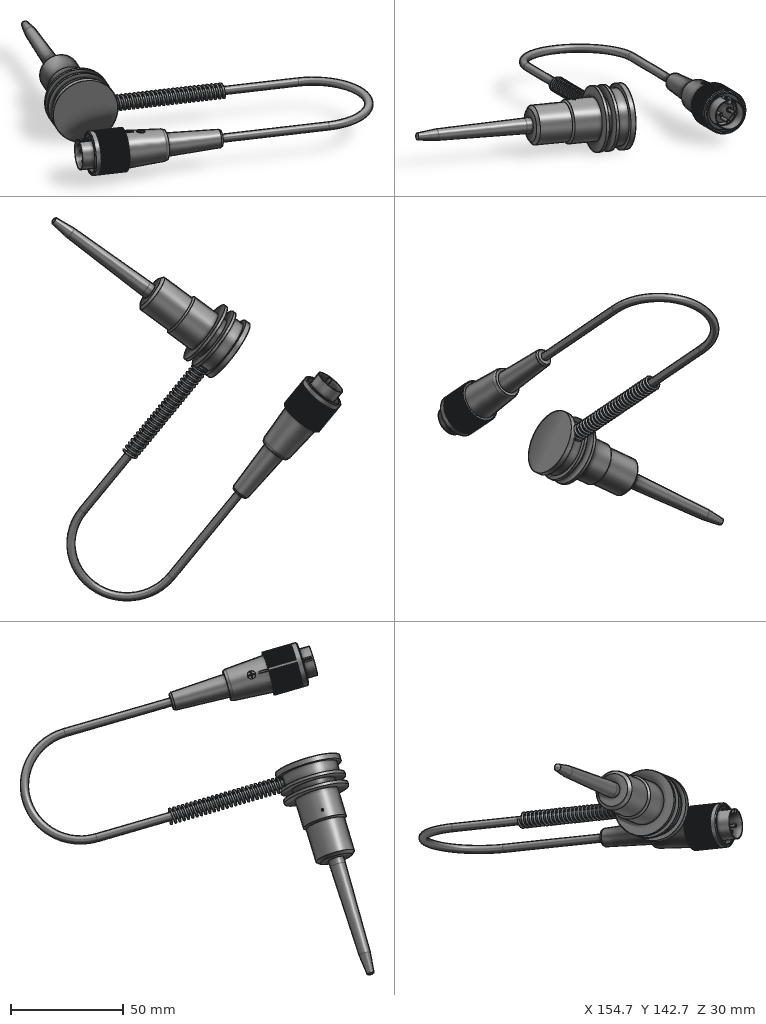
import cadquery as cq
TIP_DOME_LENGTH = 0.6
TIP_DIA = 3.2
PROBE_SHOULDER_X = 9.9
PROBE_SHOULDER_DIA = 5.3
PROBE_ROOT_X = 52.1
PROBE_ROOT_DIA = 7.1

NOSE_X = 55.0
NOSE_DIA = 18.0
NOSE_CHAMFER_LENGTH = 1.2
NOSE_FACE_DIA = 14.9
BARREL_X = 71.8
BARREL_DIA = 20.0
BARREL_CHAMFER_LENGTH = 0.8

FLANGE_DIA = 30.0
FRONT_FLANGE_X = 85.7
MIDDLE_FLANGE_X = 90.5
THIN_FLANGE_WIDTH = 1.4
REAR_FLANGE_X = 97.5
HOUSING_END_X = 100.0
SPOOL_DIA = 26.0
VENT_DIA = 1.0
VENT_X = 76.3
VENT_DEPTH = 1.5

WIRE_DIA = 1.0
SPRING_DIA = 7.3
SPRING_COIL_LENGTH = 52.9
SPRING_TURNS = 26.5
SPRING_START_GAP = 0.08
SPRING_BORE_DIA = 7.5
SPRING_BORE_FLOOR_Y = 12.4

CABLE_DIA = 3.7
CABLE_BEND_Y = 99.8

RING_DIA = 20.0
PLUG_X = 154.7 - RING_DIA / 2
CABLE_X = 94.7

PLUG_END_Y = -16.0
BOOT_END_Y = 50.1
BOOT_FACE_DIA = 7.3
BOOT_CHAMFER_LENGTH = 1.0
BOOT_TOP_DIA = 8.4
BOOT_BASE_Y = 24.3
BOOT_BASE_DIA = 10.7
GRIP_CHAMFER_LENGTH = 1.4
GRIP_FACE_DIA = 13.6
GRIP_TOP_DIA = 14.7
GRIP_BASE_DIA = 17.2
SHELL_DIA = 13.6
SHELL_BORE_DIA = 13.0
SHELL_BORE_DEPTH = 9.3
INSULATOR_DIA = 11.1
INSULATOR_BEVEL_LENGTH = 0.8
KEYWAY_WIDTH = 0.5
KEYWAY_DEPTH = 0.3
KEYWAY_LENGTH = 4.6
KEYWAY_END_GAP = 0.8
KEY_WIDTH = 1.9
KEY_HEIGHT = 1.5

PIN_DIA = 1.5
PIN_TIP_DIA = 1.0
PIN_RADIUS = 3.4
PIN_SETBACK = 1.5
COLLAR_DIA = 2.5
COLLAR_HEIGHT = 0.5
SOCKET_DIA = 1.0
SOCKET_DEPTH = 1.5

RING_TOP_Y = 5.0
RING_END_Y = -11.0
RING_CHAMFER = 0.5
RING_RECESS_DIA = 17.2
RING_RECESS_DEPTH = 3.1
RING_RECESS_CHAMFER = 0.3
KNURL_COUNT = 72
KNURL_WIDTH = 0.39
KNURL_DEPTH = 0.39
KNURL_END_Y = -8.2

SCREW_DIA = 3.7
SCREW_Y = 12.8
SCREW_DEPTH = 2.5
SCREW_SLOT_WIDTH = 0.5
SCREW_SLOT_LENGTH = 2.5
SCREW_SLOT_DEPTH = 0.6
MARK_WIDTH = 1.0
MARK_TOP_Y = 9.3
MARK_DEPTH = 0.5


def rod_along_y(x, z, diameter, y_start, y_end):
    """Cylinder parallel to Y between two Y positions."""
    return (
        cq.Workplane("XZ", origin=(x, y_start, z))
        .circle(diameter / 2)
        .extrude(y_start - y_end)
    )


def turned_about_plug_axis(profile):
    """Solid of revolution about the plug axis from (radius, y) points."""
    outline = cq.Workplane("XY", origin=(PLUG_X, 0, 0)).polyline(profile).close()
    return outline.revolve(360, (0, 0, 0), (0, 1, 0))


def box_between(x_range, y_range, z_range):
    """Box filling three coordinate ranges."""
    corner = (x_range[0], y_range[0], z_range[0])
    return cq.Workplane("XY").box(
        x_range[1] - x_range[0],
        y_range[1] - y_range[0],
        z_range[1] - z_range[0],
        centered=False,
    ).translate(corner)


def grip_radius(y):
    """Radius of the tapered grip at a given Y."""
    grip_top_y = BOOT_BASE_Y - GRIP_CHAMFER_LENGTH
    fraction = (grip_top_y - y) / (grip_top_y - RING_TOP_Y)
    return (GRIP_TOP_DIA + fraction * (GRIP_BASE_DIA - GRIP_TOP_DIA)) / 2


def make_housing():
    """Turned probe, barrel and flanged spool, with the cable bore and the vent."""
    dome_radius = TIP_DIA / 2
    dome_middle = (TIP_DOME_LENGTH / 4, dome_radius / 2)
    housing = (
        cq.Workplane("XY")
        .moveTo(0, 0)
        .threePointArc(dome_middle, (TIP_DOME_LENGTH, dome_radius))
        .lineTo(PROBE_SHOULDER_X, PROBE_SHOULDER_DIA / 2)
        .lineTo(PROBE_ROOT_X, PROBE_ROOT_DIA / 2)
        .lineTo(NOSE_X, PROBE_ROOT_DIA / 2)
        .lineTo(NOSE_X, NOSE_FACE_DIA / 2)
        .lineTo(NOSE_X + NOSE_CHAMFER_LENGTH, NOSE_DIA / 2)
        .lineTo(BARREL_X, NOSE_DIA / 2)
        .lineTo(BARREL_X + BARREL_CHAMFER_LENGTH, BARREL_DIA / 2)
        .lineTo(FRONT_FLANGE_X, BARREL_DIA / 2)
        .lineTo(FRONT_FLANGE_X, FLANGE_DIA / 2)
        .lineTo(FRONT_FLANGE_X + THIN_FLANGE_WIDTH, FLANGE_DIA / 2)
        .lineTo(FRONT_FLANGE_X + THIN_FLANGE_WIDTH, BARREL_DIA / 2)
        .lineTo(MIDDLE_FLANGE_X, BARREL_DIA / 2)
        .lineTo(MIDDLE_FLANGE_X, FLANGE_DIA / 2)
        .lineTo(MIDDLE_FLANGE_X + THIN_FLANGE_WIDTH, FLANGE_DIA / 2)
        .lineTo(MIDDLE_FLANGE_X + THIN_FLANGE_WIDTH, SPOOL_DIA / 2)
        .lineTo(REAR_FLANGE_X, SPOOL_DIA / 2)
        .lineTo(REAR_FLANGE_X, FLANGE_DIA / 2)
        .lineTo(HOUSING_END_X, FLANGE_DIA / 2)
        .lineTo(HOUSING_END_X, 0)
        .close()
        .revolve(360, (0, 0, 0), (1, 0, 0))
    )
    spring_bore = rod_along_y(CABLE_X, 0, SPRING_BORE_DIA, SPRING_BORE_FLOOR_Y, FLANGE_DIA / 2)
    vent = (
        cq.Workplane("XY", origin=(VENT_X, 0, BARREL_DIA / 2 - VENT_DEPTH))
        .circle(VENT_DIA / 2)
        .extrude(2 * VENT_DEPTH)
    )
    return housing.cut(spring_bore).cut(vent)


def make_spring():
    """Round-wire helix around the cable, standing on the floor of the housing bore."""
    coil_radius = (SPRING_DIA - WIRE_DIA) / 2
    pitch = SPRING_COIL_LENGTH / SPRING_TURNS
    helix = cq.Wire.makeHelix(pitch, SPRING_COIL_LENGTH, coil_radius)
    start_y = SPRING_BORE_FLOOR_Y + WIRE_DIA / 2 + SPRING_START_GAP
    return (
        cq.Workplane("XZ", origin=(coil_radius, 0, 0))
        .circle(WIRE_DIA / 2)
        .sweep(cq.Workplane(helix), isFrenet=True)
        .rotate((0, 0, 0), (1, 0, 0), -90)
        .translate((CABLE_X, start_y, 0))
    )


def make_cable():
    """U-shaped cable from the housing bore to the end of the plug boot."""
    bend_radius = (PLUG_X - CABLE_X) / 2
    path = (
        cq.Workplane("XY")
        .moveTo(CABLE_X, SPRING_BORE_FLOOR_Y)
        .lineTo(CABLE_X, CABLE_BEND_Y)
        .threePointArc((CABLE_X + bend_radius, CABLE_BEND_Y + bend_radius), (PLUG_X, CABLE_BEND_Y))
        .lineTo(PLUG_X, BOOT_END_Y)
    )
    section = cq.Workplane("XZ", origin=(CABLE_X, SPRING_BORE_FLOOR_Y, 0)).circle(CABLE_DIA / 2)
    return section.sweep(path)


def make_contacts(face_y):
    """Three contact pins on the insulator face, the two side ones with a collar."""
    tip_y = PLUG_END_Y + PIN_SETBACK
    tip_chamfer = (PIN_DIA - PIN_TIP_DIA) / 2
    contacts = cq.Workplane("XY")
    for x_offset, z in ((-PIN_RADIUS, 0), (PIN_RADIUS, 0), (0, -PIN_RADIUS)):
        pin = rod_along_y(PLUG_X + x_offset, z, PIN_DIA, face_y, tip_y)
        contacts = contacts.add(pin.faces("<Y").chamfer(tip_chamfer))
        if z == 0:
            contacts = contacts.add(
                rod_along_y(PLUG_X + x_offset, z, COLLAR_DIA, face_y, face_y - COLLAR_HEIGHT)
            )
    return contacts


def make_plug():
    """Boot, tapered grip and contact shell of the plug."""
    face_y = PLUG_END_Y + SHELL_BORE_DEPTH
    plug = turned_about_plug_axis(
        [
            (0, BOOT_END_Y),
            (BOOT_FACE_DIA / 2, BOOT_END_Y),
            (BOOT_TOP_DIA / 2, BOOT_END_Y - BOOT_CHAMFER_LENGTH),
            (BOOT_BASE_DIA / 2, BOOT_BASE_Y),
            (GRIP_FACE_DIA / 2, BOOT_BASE_Y),
            (GRIP_TOP_DIA / 2, BOOT_BASE_Y - GRIP_CHAMFER_LENGTH),
            (GRIP_BASE_DIA / 2, RING_TOP_Y),
            (SHELL_DIA / 2, RING_TOP_Y),
            (SHELL_DIA / 2, PLUG_END_Y),
            (SHELL_BORE_DIA / 2, PLUG_END_Y),
            (SHELL_BORE_DIA / 2, face_y - INSULATOR_BEVEL_LENGTH),
            (INSULATOR_DIA / 2, face_y),
            (0, face_y),
        ]
    )
    shell_top_z = SHELL_DIA / 2
    keyway = box_between(
        (PLUG_X - KEYWAY_WIDTH / 2, PLUG_X + KEYWAY_WIDTH / 2),
        (PLUG_END_Y + KEYWAY_END_GAP, PLUG_END_Y + KEYWAY_END_GAP + KEYWAY_LENGTH),
        (shell_top_z - KEYWAY_DEPTH, shell_top_z),
    )
    bore_top_z = SHELL_BORE_DIA / 2
    key = box_between(
        (PLUG_X - KEY_WIDTH / 2, PLUG_X + KEY_WIDTH / 2),
        (PLUG_END_Y, face_y),
        (bore_top_z - KEY_HEIGHT, shell_top_z - KEYWAY_DEPTH),
    )
    socket = rod_along_y(PLUG_X, PIN_RADIUS, SOCKET_DIA, face_y, face_y + SOCKET_DEPTH)
    index_mark = box_between(
        (PLUG_X - MARK_WIDTH / 2, PLUG_X + MARK_WIDTH / 2),
        (RING_TOP_Y, MARK_TOP_Y),
        (grip_radius(MARK_TOP_Y) - MARK_DEPTH, GRIP_BASE_DIA / 2),
    )
    screw_hole = screw_blank(GRIP_BASE_DIA / 2)
    plug = plug.union(key).cut(keyway).cut(socket).cut(index_mark).cut(screw_hole)
    for contact in make_contacts(face_y).vals():
        plug = plug.union(cq.Workplane(contact))
    return plug


def screw_blank(top_z):
    """Screw cylinder from its seat in the grip up to a given height."""
    seat_z = grip_radius(SCREW_Y) - SCREW_DEPTH
    return (
        cq.Workplane("XY", origin=(PLUG_X, SCREW_Y, seat_z))
        .circle(SCREW_DIA / 2)
        .extrude(top_z - seat_z)
    )


def make_screw():
    """Cross-slotted screw, level with the grip surface."""
    head_z = grip_radius(SCREW_Y)
    slot = (
        cq.Workplane("XY", origin=(PLUG_X, SCREW_Y, head_z - SCREW_SLOT_DEPTH))
        .rect(SCREW_SLOT_LENGTH, SCREW_SLOT_WIDTH)
        .extrude(SCREW_SLOT_DEPTH)
    )
    cross_slot = slot.rotate((PLUG_X, SCREW_Y, 0), (PLUG_X, SCREW_Y, 1), 90)
    return screw_blank(head_z).cut(slot).cut(cross_slot)


def make_knurl_grooves():
    """Lengthwise grooves around the ring, leaving one plain strip on its top."""
    groove = box_between(
        (PLUG_X - KNURL_WIDTH / 2, PLUG_X + KNURL_WIDTH / 2),
        (KNURL_END_Y, RING_TOP_Y),
        (RING_DIA / 2 - KNURL_DEPTH, RING_DIA / 2 + KNURL_DEPTH),
    ).val()
    grooves = []
    for index in range(1, KNURL_COUNT):
        angle = 360 * index / KNURL_COUNT
        grooves.append(groove.rotate(cq.Vector(PLUG_X, 0, 0), cq.Vector(PLUG_X, 1.5, 0), angle))
    return cq.Compound.makeCompound(grooves)


def make_ring():
    """Knurled locking ring around the contact shell, recessed at its open end."""
    recess_floor_y = RING_END_Y + RING_RECESS_DEPTH
    ring = turned_about_plug_axis(
        [
            (SHELL_DIA / 2, RING_TOP_Y),
            (RING_DIA / 2, RING_TOP_Y),
            (RING_DIA / 2, RING_END_Y + RING_CHAMFER),
            (RING_DIA / 2 - RING_CHAMFER, RING_END_Y),
            (RING_RECESS_DIA / 2 + RING_RECESS_CHAMFER, RING_END_Y),
            (RING_RECESS_DIA / 2, RING_END_Y + RING_RECESS_CHAMFER),
            (RING_RECESS_DIA / 2, recess_floor_y),
            (SHELL_DIA / 2, recess_floor_y),
        ]
    )
    return ring.cut(cq.Workplane(make_knurl_grooves()))


housing = make_housing()
spring = make_spring()
cable = make_cable()
plug = make_plug()
screw = make_screw()
ring = make_ring()

result = cq.Compound.makeCompound(
    [housing.val(), spring.val(), cable.val(), plug.val(), screw.val(), ring.val()]
)